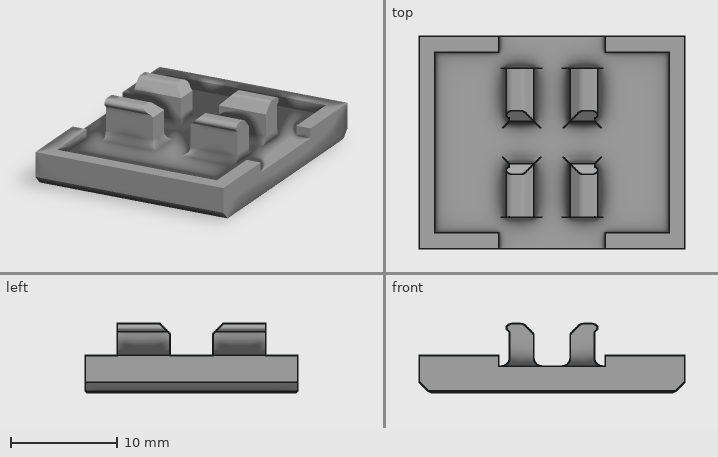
import cadquery as cq
import math

length = 25.0
width = 20.0
plate_height = 3.5
floor_height = 2.5
rim = 1.5
notch_length = 10.0
end_chamfer = 1.0
bottom_chamfer = 0.2

peg_top = 6.5
peg_inner_x = 1.7
peg_outer_x = 4.0
peg_inner_y = 2.0
peg_outer_y = 7.0
foot_radius = 0.75
lead_chamfer = 1.0
crest_radius = 0.75
hook_reach = 0.4
hook_radius = 0.25
root_depth = 0.25
peg_root = floor_height - root_depth


def foot_midpoint(wall, direction):
    """Point halfway along the concave foot arc; direction points away from the peg."""
    offset = foot_radius * (1 - math.sqrt(0.5))
    return (wall + direction * offset, floor_height + offset)


def make_plate():
    plate = cq.Workplane("XY").box(length, width, plate_height, centered=(True, True, False))
    plate = plate.faces("<Z").edges("|Y").chamfer(end_chamfer)
    plate = plate.faces("<Z").edges().chamfer(bottom_chamfer)

    recess_depth = plate_height - floor_height
    floor = cq.Workplane("XY", origin=(0, 0, floor_height))
    recess = floor.rect(length - 2 * rim, width - 2 * rim).extrude(recess_depth)
    notches = floor.rect(notch_length, width).extrude(recess_depth)
    return plate.cut(recess).cut(notches)


def peg_hook_prism():
    """Peg section across X, with flared feet, a rounded crest and an outward hook."""
    foot_top = floor_height + foot_radius
    corner_x = peg_inner_x + lead_chamfer

    half_bend = math.radians(45 / 2)
    tangent = crest_radius * math.tan(half_bend)
    slope_step = tangent * math.sqrt(0.5)
    crest_mid_step = tangent - crest_radius * math.sin(half_bend)
    crest_mid_z = peg_top - crest_radius * (1 - math.cos(half_bend))

    tip_x = peg_outer_x + hook_reach
    tip_z = peg_top - hook_reach
    tip_step = hook_radius * math.sqrt(0.5)
    tip_arc_x = tip_x - hook_radius * (math.sqrt(2) - 1)

    return (
        cq.Workplane("XZ")
        .moveTo(peg_inner_x - foot_radius, peg_root)
        .lineTo(peg_inner_x - foot_radius, floor_height)
        .threePointArc(foot_midpoint(peg_inner_x, -1), (peg_inner_x, foot_top))
        .lineTo(peg_inner_x, peg_top - lead_chamfer)
        .lineTo(corner_x - slope_step, peg_top - slope_step)
        .threePointArc((corner_x + crest_mid_step, crest_mid_z), (corner_x + tangent, peg_top))
        .lineTo(peg_outer_x - tangent, peg_top)
        .threePointArc(
            (peg_outer_x - crest_mid_step, crest_mid_z),
            (peg_outer_x + slope_step, peg_top - slope_step),
        )
        .lineTo(tip_x - tip_step, tip_z + tip_step)
        .threePointArc((tip_arc_x, tip_z), (tip_x - tip_step, tip_z - tip_step))
        .lineTo(peg_outer_x, tip_z - hook_reach)
        .lineTo(peg_outer_x, foot_top)
        .threePointArc(foot_midpoint(peg_outer_x, 1), (peg_outer_x + foot_radius, floor_height))
        .lineTo(peg_outer_x + foot_radius, peg_root)
        .close()
        .extrude(-peg_outer_y)
    )


def peg_length_prism():
    """Peg section along Y: flared, chamfered inner end and a plain outer end."""
    return (
        cq.Workplane("YZ")
        .moveTo(peg_inner_y - foot_radius, peg_root)
        .lineTo(peg_inner_y - foot_radius, floor_height)
        .threePointArc(foot_midpoint(peg_inner_y, -1), (peg_inner_y, floor_height + foot_radius))
        .lineTo(peg_inner_y, peg_top - lead_chamfer)
        .lineTo(peg_inner_y + lead_chamfer, peg_top)
        .lineTo(peg_outer_y, peg_top)
        .lineTo(peg_outer_y, peg_root)
        .close()
        .extrude(peg_outer_x + foot_radius)
    )


peg = peg_hook_prism().intersect(peg_length_prism())
peg_pair = peg.union(peg.mirror("YZ"))

result = make_plate().union(peg_pair).union(peg_pair.mirror("XZ"))